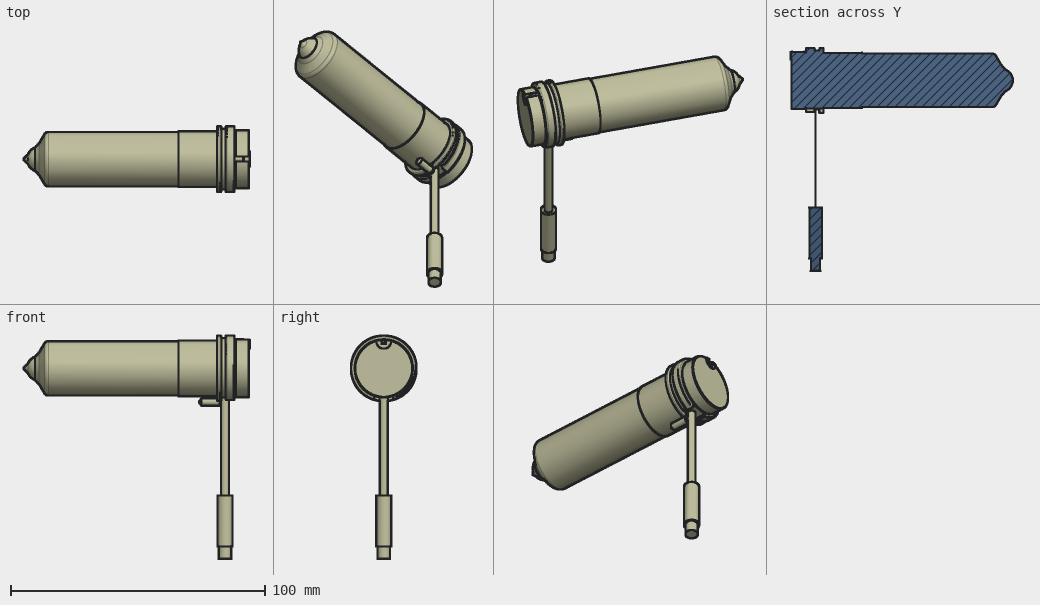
import cadquery as cq

NOSE_TIP_X = 0.0
NOSE_POINT_X = 1.6
NOSE_DOME_X = 4.45
NOSE_CONE_X = 6.05
NOSE_SHOULDER_X = 8.1
SHANK_X = 9.7
COLLAR_X = 60.9
RING_X = 76.0
GROOVE_X = 77.8
FLANGE_X = 79.5
CAP_X = 83.0
BODY_END_X = 88.7
BOSS_END_X = 89.0

TIP_R = 0.3
POINT_R = 1.9
DOME_R = 4.6
CONE_R = 6.3
SHOULDER_R = 9.8
SHANK_R = 10.8
SHOULDER_ROUND = 2.0
DOME_ARC_R = 5.0
COLLAR_R = 11.0
FLANGE_R = 13.0
GROOVE_R = 12.0
CAP_R = 11.5
RING_ROUND = 0.5
CAP_FRONT_CHAMFER = 0.45
CAP_REAR_CHAMFER = 0.3

KEY_SLOT_WIDTH = 2.0
KEY_SLOT_FLOOR_Z = 9.6
BOSS_R = 2.9
BOSS_Z = 10.7
KEY_PIN_LENGTH = 3.65
KEY_PIN_CHAMFER = 0.3

CABLE_X = 79.2
CABLE_R = 1.6
SLOT_FLOOR_Z = -11.1
FLANGE_SLOT_WIDTH = 7.3

SENSOR_TIP_X = 69.1
SENSOR_NOSE_LENGTH = 1.0
SENSOR_R = 1.5
SENSOR_TIP_R = 0.2
SENSOR_Z = -13.3
SENSOR_END_X = 77.0
SENSOR_NECK_R = 1.2

SLEEVE_R = 3.0
STUB_R = 2.5
BOTTOM_Z = -75.0
STUB_LENGTH = 5.0
SLEEVE_LENGTH = 20.0
SLEEVE_BOTTOM_Z = BOTTOM_Z + STUB_LENGTH
SLEEVE_TOP_Z = SLEEVE_BOTTOM_Z + SLEEVE_LENGTH


def cylinder_x(radius, start_x, end_x, z):
    """Cylinder parallel to X."""
    return cq.Workplane("YZ", origin=(start_x, 0, z)).circle(radius).extrude(end_x - start_x)


def cylinder_z(radius, bottom_z, top_z):
    """Cylinder on the vertical cable axis."""
    return cq.Workplane("XY", origin=(CABLE_X, 0, bottom_z)).circle(radius).extrude(top_z - bottom_z)


def block(start_x, end_x, width, bottom_z, top_z):
    """Box centred on the XZ plane."""
    middle_x = (start_x + end_x) / 2
    return (
        cq.Workplane("XY", origin=(middle_x, 0, bottom_z))
        .rect(end_x - start_x, width)
        .extrude(top_z - bottom_z)
    )


def rounded_disk(radius, start_x, end_x):
    """Disk about the X axis with both rims rounded."""
    return cylinder_x(radius, start_x, end_x, 0).edges().fillet(RING_ROUND)


def make_turned_body():
    """Nose, shank, collar, ring, flange and cap, all round about X."""
    profile = (
        cq.Workplane("XZ")
        .moveTo(NOSE_TIP_X, 0)
        .lineTo(NOSE_TIP_X, TIP_R)
        .lineTo(NOSE_POINT_X, POINT_R)
        .radiusArc((NOSE_DOME_X, DOME_R), DOME_ARC_R)
        .lineTo(NOSE_CONE_X, CONE_R)
        .lineTo(NOSE_SHOULDER_X, SHOULDER_R)
        .radiusArc((SHANK_X, SHANK_R), SHOULDER_ROUND)
        .lineTo(COLLAR_X, SHANK_R)
        .lineTo(COLLAR_X, COLLAR_R)
        .lineTo(RING_X, COLLAR_R)
        .lineTo(RING_X, GROOVE_R)
        .lineTo(CAP_X, GROOVE_R)
        .lineTo(CAP_X, 0)
        .close()
    )
    body = profile.revolve(360, (0, 0, 0), (1, 0, 0))
    cap = (
        cylinder_x(CAP_R, CAP_X, BODY_END_X, 0)
        .faces("<X")
        .chamfer(CAP_FRONT_CHAMFER)
        .faces(">X")
        .chamfer(CAP_REAR_CHAMFER)
    )
    ring = rounded_disk(FLANGE_R, RING_X, GROOVE_X)
    flange = rounded_disk(FLANGE_R, FLANGE_X, CAP_X)
    return body.union(cap).union(ring).union(flange)


def make_boss():
    """Low round boss on the rear face, trimmed to the cap outline."""
    outline = cylinder_x(CAP_R - CAP_REAR_CHAMFER, BODY_END_X, BOSS_END_X, 0)
    return cylinder_x(BOSS_R, BODY_END_X, BOSS_END_X, BOSS_Z).intersect(outline)


def make_housing():
    """Turned body with the boss, the key slot and the bottom slots for pin and cable."""
    key_slot = block(CAP_X, BOSS_END_X, KEY_SLOT_WIDTH, KEY_SLOT_FLOOR_Z, FLANGE_R)
    ring_slot = block(RING_X, GROOVE_X, 2 * CABLE_R, -FLANGE_R, SLOT_FLOOR_Z)
    flange_slot = block(GROOVE_X, CAP_X, FLANGE_SLOT_WIDTH, -FLANGE_R, SLOT_FLOOR_Z)
    return make_turned_body().union(make_boss()).cut(key_slot).cut(ring_slot).cut(flange_slot)


def make_key_pin():
    """Dowel lying on the floor of the key slot."""
    radius = KEY_SLOT_WIDTH / 2
    pin = cylinder_x(radius, CAP_X, CAP_X + KEY_PIN_LENGTH, KEY_SLOT_FLOOR_Z + radius)
    return pin.faces(">X").chamfer(KEY_PIN_CHAMFER)


def make_sensor_pin():
    """Pointed pin held in the ring slot, touching the cable with a thin neck."""
    profile = (
        cq.Workplane("XZ", origin=(0, 0, SENSOR_Z))
        .moveTo(SENSOR_TIP_X, 0)
        .lineTo(SENSOR_TIP_X, SENSOR_TIP_R)
        .lineTo(SENSOR_TIP_X + SENSOR_NOSE_LENGTH, SENSOR_R)
        .lineTo(SENSOR_END_X, SENSOR_R)
        .lineTo(SENSOR_END_X, SENSOR_NECK_R)
        .lineTo(CABLE_X - CABLE_R, SENSOR_NECK_R)
        .lineTo(CABLE_X - CABLE_R, 0)
        .close()
    )
    return profile.revolve(360, (0, 0, 0), (1, 0, 0))


def make_cable():
    """Straight round cable from the slot floor down to the sleeve."""
    return cylinder_z(CABLE_R, SLEEVE_TOP_Z, SLOT_FLOOR_Z)


def make_sleeve():
    """Sleeve with a thinner stub at its lower end."""
    stub = cylinder_z(STUB_R, BOTTOM_Z, SLEEVE_BOTTOM_Z)
    return cylinder_z(SLEEVE_R, SLEEVE_BOTTOM_Z, SLEEVE_TOP_Z).union(stub)


housing = make_housing()
key_pin = make_key_pin()
sensor_pin = make_sensor_pin()
cable = make_cable()
sleeve = make_sleeve()

result = cq.Compound.makeCompound(
    [housing.val(), key_pin.val(), sensor_pin.val(), cable.val(), sleeve.val()]
)